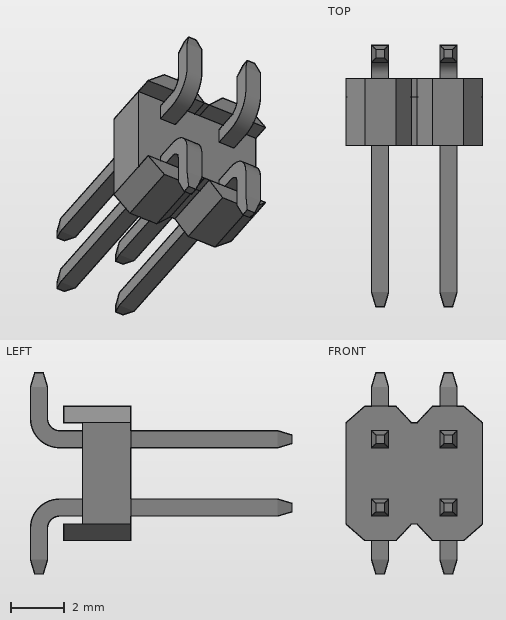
import cadquery as cq


PITCH = 2.54
PIN_SIZE = 0.64
TIP_SIZE = 0.32
TIP_LENGTH = 0.54
BEND_INNER_RADIUS = 0.45
BEND_OUTER_RADIUS = BEND_INNER_RADIUS + PIN_SIZE

OVERALL_LENGTH = 9.74
OVERALL_HEIGHT = 7.5
MATING_LENGTH = 6.0
TAIL_BACK_Y = OVERALL_LENGTH - MATING_LENGTH
TAIL_TOP_Z = OVERALL_HEIGHT / 2

HOUSING_WIDTH = 2 * PITCH
HOUSING_HEIGHT = 5.01
HOUSING_DEPTH = 2.5
CORNER_WIDTH = 0.7
CORNER_HEIGHT = 0.61
NOTCH_TOP_WIDTH = 1.36
NOTCH_FLOOR_WIDTH = 0.2
RECESS_DEPTH = 0.7
WEB_THICKNESS = 0.01


def make_housing():
    """Octagonal two-lobed block with a recess across its rear face."""
    half_width = HOUSING_WIDTH / 2
    half_height = HOUSING_HEIGHT / 2
    shoulder_z = half_height - CORNER_HEIGHT
    upper_right = [
        (NOTCH_FLOOR_WIDTH / 2, shoulder_z),
        (NOTCH_TOP_WIDTH / 2, half_height),
        (half_width - CORNER_WIDTH, half_height),
        (half_width, shoulder_z),
    ]
    lower_right = [(x, -z) for x, z in reversed(upper_right)]
    right = upper_right + lower_right
    left = [(-x, z) for x, z in reversed(right)]

    block = cq.Workplane("XZ").polyline(right + left).close().extrude(-HOUSING_DEPTH)

    recess_height = 2 * (shoulder_z - WEB_THICKNESS)
    recess = (
        cq.Workplane("XY")
        .box(HOUSING_WIDTH, RECESS_DEPTH, recess_height)
        .translate((0, HOUSING_DEPTH - RECESS_DEPTH / 2, 0))
    )
    return block.cut(recess)


def make_tip(base_plane):
    """Tapered square tip standing on the given plane."""
    return (
        cq.Workplane(base_plane)
        .rect(PIN_SIZE, PIN_SIZE)
        .workplane(offset=TIP_LENGTH)
        .rect(TIP_SIZE, TIP_SIZE)
        .loft(combine=True)
    )


def make_upper_pin(x):
    """Square pin running along Y and bent up at the rear, with both ends tapered."""
    pin_z = PITCH / 2
    front_y = TIP_LENGTH - MATING_LENGTH
    tail_z = TAIL_TOP_Z - TIP_LENGTH
    tail_y = TAIL_BACK_Y - PIN_SIZE / 2

    front_section = cq.Plane(origin=(x, front_y, pin_z), xDir=(1, 0, 0), normal=(0, -1, 0))
    tail_section = cq.Plane(origin=(x, tail_y, tail_z), xDir=(1, 0, 0), normal=(0, 0, 1))

    centre_radius = (BEND_INNER_RADIUS + BEND_OUTER_RADIUS) / 2
    centre_line = (
        cq.Workplane("YZ", origin=(x, 0, 0))
        .moveTo(front_y, pin_z)
        .lineTo(tail_y - centre_radius, pin_z)
        .tangentArcPoint((tail_y, pin_z + centre_radius), relative=False)
        .lineTo(tail_y, tail_z)
    )
    shank = cq.Workplane(front_section).rect(PIN_SIZE, PIN_SIZE).sweep(centre_line)
    return shank.union(make_tip(front_section)).union(make_tip(tail_section))


result = make_housing()
for pin_x in (-PITCH / 2, PITCH / 2):
    upper_pin = make_upper_pin(pin_x)
    lower_pin = upper_pin.mirror("XY")
    result = result.union(upper_pin).union(lower_pin)